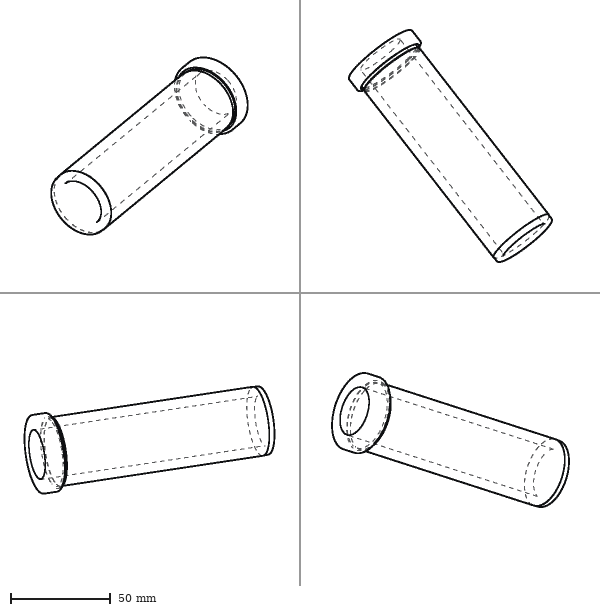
import cadquery as cq

length = 120.0
head_diameter = 40.0
head_thickness = 8.0
head_edge_fillet = 0.7
body_radius = 17.5
bore_radius = 12.5
bore_mouth_fillet = 1.9

undercut_depth = 0.4
undercut_width = 1.8
undercut_taper = 0.4
relief_radius = 18.2
relief_depth = 0.4

pilot_length = 3.0
pilot_step = 0.1
pilot_edge_fillet = 0.6

head_radius = head_diameter / 2
pilot_radius = body_radius - pilot_step
undercut_radius = body_radius - undercut_depth
head_end = length / 2
lead_end = -length / 2
head_underside = head_end - head_thickness
undercut_end = head_underside - undercut_width


def bushing_blank():
    """Revolve the half section, given as (radius, position along Y)."""
    section = [
        (bore_radius, lead_end),
        (pilot_radius, lead_end),
        (pilot_radius, lead_end + pilot_length),
        (body_radius, lead_end + pilot_length),
        (body_radius, undercut_end),
        (undercut_radius, undercut_end + undercut_taper),
        (undercut_radius, head_underside + relief_depth),
        (relief_radius, head_underside),
        (head_radius, head_underside),
        (head_radius, head_end),
        (bore_radius, head_end),
    ]
    return cq.Workplane("XY").polyline(section).close().revolve(360, (0, 0, 0), (0, 1, 0))


smallest_circle = cq.selectors.RadiusNthSelector(0)
largest_circle = cq.selectors.RadiusNthSelector(-1)

result = bushing_blank()

result = result.faces("<Y").edges(smallest_circle).fillet(bore_mouth_fillet)
result = result.faces("<Y").edges(largest_circle).fillet(pilot_edge_fillet)

result = result.edges(largest_circle).fillet(head_edge_fillet)